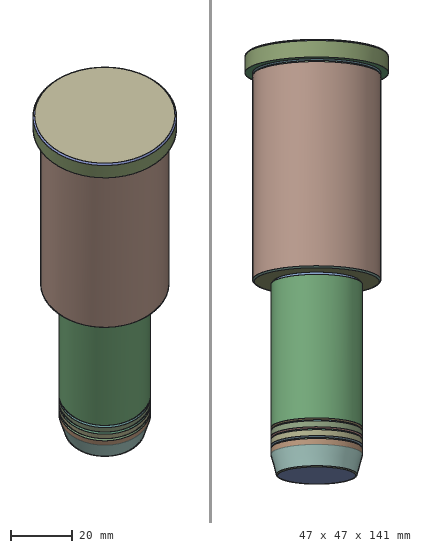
import cadquery as cq
import math


total_length = 141.0
head_diameter = 47.0
body_diameter = 42.0
pin_diameter = 30.0

head_thickness = 6.0
head_and_body_length = 76.0
tip_length = 7.0
tip_taper_angle = 15.0

head_chamfer = 0.5
body_chamfer = 0.5
pin_chamfer = 1.0
tip_chamfer = 0.35

groove_width = 1.0
groove_count = 3
groove_pitch = 3.0
lowest_groove_base = 9.0

head_radius = head_diameter / 2
body_radius = body_diameter / 2
pin_radius = pin_diameter / 2
tip_radius = pin_radius - tip_length * math.tan(math.radians(tip_taper_angle))
head_base = total_length - head_thickness
body_base = total_length - head_and_body_length
groove_depth = groove_width / 2


def cylinder(base, top, radius):
    """Solid cylinder on the Z axis between two heights."""
    return cq.Workplane("XY").workplane(offset=base).circle(radius).extrude(top - base)


def v_groove(base, radius):
    """Ring of triangular section to cut from a shaft of the given radius."""
    section = [
        (radius, base),
        (radius - groove_depth, base + groove_width / 2),
        (radius, base + groove_width),
    ]
    return cq.Workplane("XZ").polyline(section).close().revolve(360, (0, 0, 0), (0, 1, 0))


head = cylinder(head_base, total_length, head_radius).faces(">Z").chamfer(head_chamfer)

body = cylinder(body_base, head_base, body_radius).faces("<Z").chamfer(body_chamfer)
body = body.cut(v_groove(head_base - groove_width, body_radius))

pin = cylinder(tip_length, body_base, pin_radius).faces(">Z").chamfer(pin_chamfer)
for index in range(groove_count):
    pin = pin.cut(v_groove(lowest_groove_base + index * groove_pitch, pin_radius))

tip = (
    cq.Workplane("XY")
    .circle(tip_radius)
    .workplane(offset=tip_length)
    .circle(pin_radius)
    .loft(ruled=True)
    .faces("<Z")
    .chamfer(tip_chamfer)
)

result = head.union(body).union(pin).union(tip)